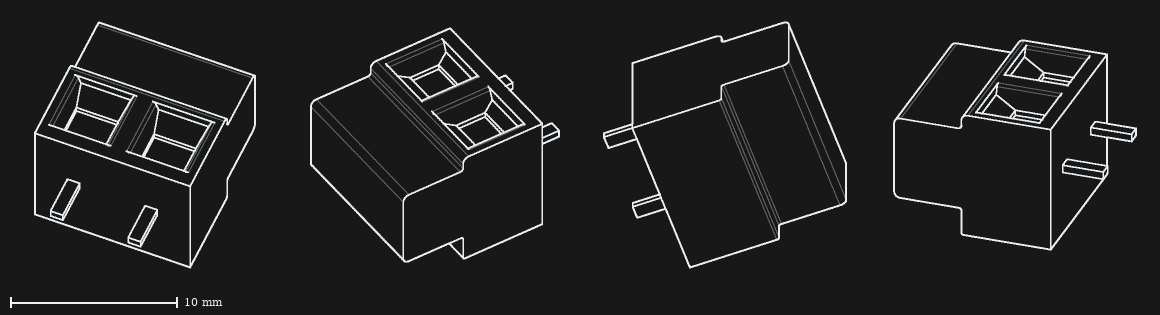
import cadquery as cq
import math

POLES = 2
PITCH = 5.08
WIDTH = POLES * PITCH
HEIGHT = 8.2
DEPTH = 10.0
WIDE_DEPTH = 5.71
TOP_STEP = 0.97
BOTTOM_STEP = 1.8
NOSE_RADIUS = 0.4
TOP_EDGE_RADIUS = 0.4
TOP_CORNER_RADIUS = 0.2
BOTTOM_RADIUS = 0.15

PIN_LENGTH = 2.6
PIN_WIDTH = 0.81
PIN_THICKNESS = 0.49
PIN_CENTRE_Z = 4.45

POCKET_SIZE = 4.05
POCKET_FRONT_Y = 0.92
POCKET_DEPTH = 1.65
FUNNEL_DEPTH = 1.31
SIDE_INSET = 0.65
FRONT_INSET = 0.65
BACK_INSET = 1.32
FRONT_LIP = 0.75
BACK_LIP = 0.62
MOUTH_RADIUS = 0.23


def make_housing():
    """Stepped block with a rounded plug nose."""
    nose_bottom = BOTTOM_STEP
    nose_top = HEIGHT - TOP_STEP
    outline = [
        (0, 0),
        (WIDE_DEPTH, 0),
        (WIDE_DEPTH, nose_bottom),
        (DEPTH, nose_bottom),
        (DEPTH, nose_top),
        (WIDE_DEPTH, nose_top),
        (WIDE_DEPTH, HEIGHT),
        (0, HEIGHT),
    ]
    rounded_edges = [
        (WIDE_DEPTH, 0, BOTTOM_RADIUS),
        (WIDE_DEPTH, nose_bottom, BOTTOM_RADIUS),
        (DEPTH, nose_bottom, NOSE_RADIUS),
        (DEPTH, nose_top, NOSE_RADIUS),
        (WIDE_DEPTH, nose_top, TOP_CORNER_RADIUS),
        (WIDE_DEPTH, HEIGHT, TOP_EDGE_RADIUS),
    ]
    housing = cq.Workplane("YZ").polyline(outline).close().extrude(WIDTH / 2, both=True)
    for y, z, radius in rounded_edges:
        edge = cq.selectors.NearestToPointSelector((0, y, z))
        housing = housing.edges("|X").edges(edge).fillet(radius)
    return housing


def make_pocket(centre_x):
    """Pocket volume: the overlap of its side-to-side and front-to-back sections."""
    half_mouth = POCKET_SIZE / 2
    half_floor = half_mouth - SIDE_INSET
    funnel_z = HEIGHT - FUNNEL_DEPTH
    floor_z = HEIGHT - POCKET_DEPTH

    centre_drop = FUNNEL_DEPTH - MOUTH_RADIUS
    reach = math.hypot(SIDE_INSET, centre_drop)
    tangent_angle = math.acos(MOUTH_RADIUS / reach) - math.atan2(centre_drop, SIDE_INSET)

    def rounding_point(angle):
        x = half_mouth - MOUTH_RADIUS * math.cos(angle)
        z = HEIGHT - MOUTH_RADIUS + MOUTH_RADIUS * math.sin(angle)
        return x, z

    slope_x, slope_z = rounding_point(tangent_angle)
    middle_x, middle_z = rounding_point((tangent_angle + math.pi / 2) / 2)

    side_section = (
        cq.Workplane("XZ")
        .moveTo(-half_mouth, HEIGHT)
        .threePointArc((-middle_x, middle_z), (-slope_x, slope_z))
        .lineTo(-half_floor, funnel_z)
        .lineTo(-half_floor, floor_z)
        .lineTo(half_floor, floor_z)
        .lineTo(half_floor, funnel_z)
        .lineTo(slope_x, slope_z)
        .threePointArc((middle_x, middle_z), (half_mouth, HEIGHT))
        .close()
        .extrude(-DEPTH)
    )

    front_y = POCKET_FRONT_Y
    back_y = POCKET_FRONT_Y + POCKET_SIZE
    length_outline = [
        (front_y, HEIGHT),
        (front_y, HEIGHT - FRONT_LIP),
        (front_y + FRONT_INSET, funnel_z),
        (front_y + FRONT_INSET, floor_z),
        (back_y - BACK_INSET, floor_z),
        (back_y - BACK_INSET, funnel_z),
        (back_y, HEIGHT - BACK_LIP),
        (back_y, HEIGHT),
    ]
    length_section = (
        cq.Workplane("YZ").polyline(length_outline).close().extrude(half_mouth, both=True)
    )
    return side_section.intersect(length_section).translate((centre_x, 0, 0))


def make_pin(centre_x):
    """Rectangular pin standing out of the front face."""
    return (
        cq.Workplane("XZ")
        .center(centre_x, PIN_CENTRE_Z)
        .rect(PIN_WIDTH, PIN_THICKNESS)
        .extrude(PIN_LENGTH)
    )


result = make_housing()
for pole in range(POLES):
    pole_x = (pole - (POLES - 1) / 2) * PITCH
    result = result.cut(make_pocket(pole_x)).union(make_pin(pole_x))